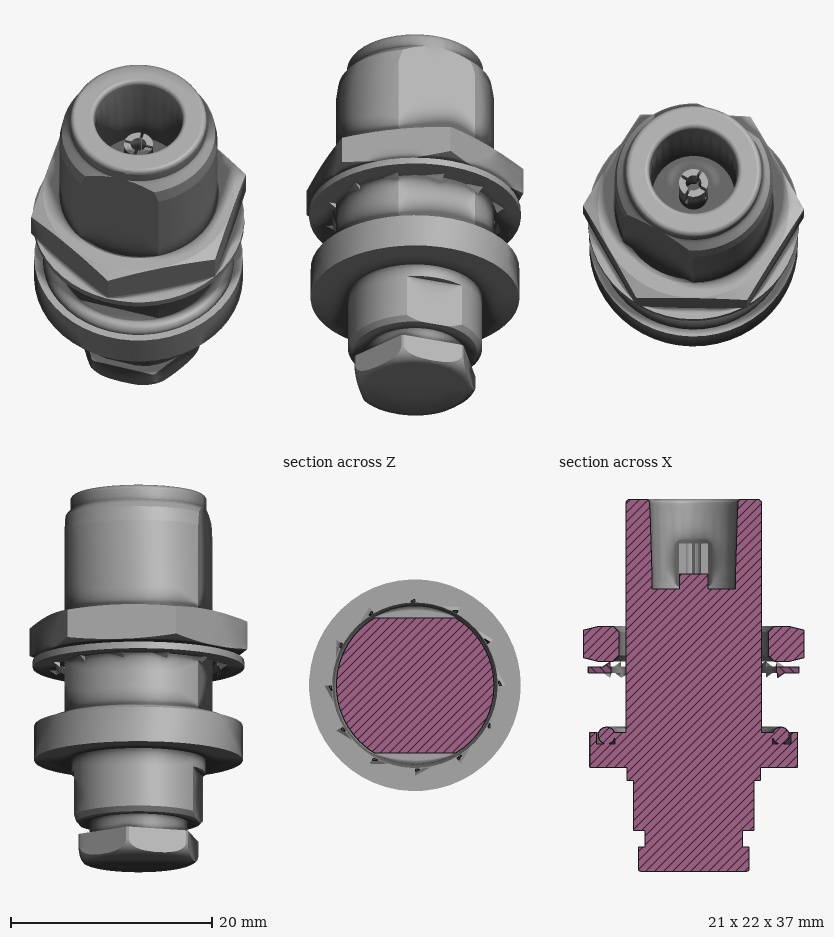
import cadquery as cq
import math


total_height = 37.02
cut_size = 37.02

clamp_across_flats = 11.05
clamp_height = 2.5
clamp_corner_radius = 6.3
clamp_bottom_fillet = 1.35
neck_radius = 4.9

sleeve_bottom = 4.07
sleeve_radius = 6.65
sleeve_chamfer = 0.48
sleeve_flat_offset = 6.0
sleeve_flat_top = 9.05

flange_bottom = 10.35
flange_top = 13.85
flange_radius = 10.35
ring_section_radius = 0.85
ring_height_above_flange = 0.55
ring_seat_depth = 0.05
groove_outer_radius = 9.65

barrel_radius = 7.85
barrel_flat_offset = 6.75
taper_bottom = 33.2
taper_top = 34.6
taper_top_radius = 7.63
rim_bottom = 35.55
rim_radius = 6.77
rim_fillet = 0.48

nut_bottom = 20.88
nut_height = 3.5
nut_across_corners = 21.95
nut_bore_radius = 7.4
nut_bore_chamfer = 0.6
nut_face_radius = 9.48
nut_corner_drop = 0.37

socket_mouth_radius = 4.35
socket_floor_radius = 4.1
socket_mouth_fillet = 0.45
socket_depth = 8.9
pin_radius = 1.45
pin_height = 4.45
pin_hole_radius = 0.78
pin_hole_depth = 2.95
pin_slot_width = 0.3

washer_radius = 10.5
washer_inner_radius = 8.2
washer_thickness = 0.65
tooth_count = 12
tooth_tip_radius = 8.3
tooth_root_radius = 9.0
tooth_height = 0.48
tooth_angle = 11.0


def cylinder(radius, bottom, top):
    return cq.Workplane("XY").workplane(offset=bottom).circle(radius).extrude(top - bottom)


def hexagon(across_corners, bottom, height, turn):
    prism = cq.Workplane("XY").workplane(offset=bottom).polygon(6, across_corners).extrude(height)
    return prism.rotate((0, 0, 0), (0, 0, 1), turn)


def cut_flats(solid, offset, bottom, top):
    """Remove the material beyond Y = +offset and Y = -offset between two heights."""
    for side in (1, -1):
        block = cq.Workplane("XY").box(cut_size, cut_size, top - bottom, centered=(True, True, False))
        solid = solid.cut(block.translate((0, side * (offset + cut_size / 2), bottom)))
    return solid


def make_clamp_nut():
    """Hexagon whose corners and lower edge are rounded off by a turned envelope."""
    hexagon_body = hexagon(clamp_across_flats / math.cos(math.pi / 6), 0, clamp_height, 0)
    envelope = cylinder(clamp_corner_radius, 0, clamp_height).faces("<Z").edges().fillet(clamp_bottom_fillet)
    return hexagon_body.intersect(envelope)


def make_sleeve():
    sleeve = cylinder(sleeve_radius, sleeve_bottom, flange_bottom)
    sleeve = sleeve.faces("<Z").edges().chamfer(sleeve_chamfer)
    return cut_flats(sleeve, sleeve_flat_offset, sleeve_bottom, sleeve_flat_top)


def make_flange():
    """Disc with a groove in its top face and a round sealing ring lying in it."""
    ring_center_z = flange_top + ring_height_above_flange - ring_section_radius
    ring_center_radius = barrel_radius + ring_section_radius - ring_seat_depth
    groove_floor = ring_center_z - ring_section_radius + ring_seat_depth
    groove = cylinder(groove_outer_radius, groove_floor, flange_top).cut(
        cylinder(barrel_radius, groove_floor, flange_top)
    )
    ring = (
        cq.Workplane("XZ")
        .center(ring_center_radius, ring_center_z)
        .circle(ring_section_radius)
        .revolve(360, (-ring_center_radius, 0), (-ring_center_radius, 1))
    )
    return cylinder(flange_radius, flange_bottom, flange_top).cut(groove).union(ring)


def make_barrel():
    """Turned barrel with a tapered shoulder and a rounded rim, flattened on two sides."""
    barrel = (
        cq.Workplane("XZ")
        .moveTo(0, flange_top)
        .lineTo(barrel_radius, flange_top)
        .lineTo(barrel_radius, taper_bottom)
        .lineTo(taper_top_radius, taper_top)
        .lineTo(rim_radius, rim_bottom)
        .lineTo(rim_radius, total_height)
        .lineTo(0, total_height)
        .close()
        .revolve(360, (0, 0), (0, 1))
    )
    barrel = barrel.faces(">Z").edges().fillet(rim_fillet)
    return cut_flats(barrel, barrel_flat_offset, flange_top, total_height)


def make_panel_nut():
    """Hexagon nut with corners on the Y axis, bevelled on both faces."""
    nut_top = nut_bottom + nut_height
    corner_radius = nut_across_corners / 2
    envelope = (
        cq.Workplane("XZ")
        .moveTo(nut_bore_radius + nut_bore_chamfer, nut_bottom)
        .lineTo(nut_face_radius, nut_bottom)
        .lineTo(corner_radius, nut_bottom + nut_corner_drop)
        .lineTo(corner_radius, nut_top - nut_corner_drop)
        .lineTo(nut_face_radius, nut_top)
        .lineTo(nut_bore_radius + nut_bore_chamfer, nut_top)
        .lineTo(nut_bore_radius, nut_top - nut_bore_chamfer)
        .lineTo(nut_bore_radius, nut_bottom + nut_bore_chamfer)
        .close()
        .revolve(360, (0, 0), (0, 1))
    )
    return hexagon(nut_across_corners, nut_bottom, nut_height, 30).intersect(envelope)


def cut_socket(solid):
    """Slightly tapered blind bore with a rounded mouth."""
    floor = total_height - socket_depth
    bore = (
        cq.Workplane("XZ")
        .moveTo(0, floor)
        .lineTo(socket_floor_radius, floor)
        .lineTo(socket_mouth_radius, total_height - socket_mouth_fillet)
        .radiusArc((socket_mouth_radius + socket_mouth_fillet, total_height), socket_mouth_fillet)
        .lineTo(0, total_height)
        .close()
        .revolve(360, (0, 0), (0, 1))
    )
    return solid.cut(bore)


def make_pin():
    """Hollow contact on the socket floor, split into four fingers by crossed slots."""
    pin_bottom = total_height - socket_depth
    pin_top = pin_bottom + pin_height
    pin = cylinder(pin_radius, pin_bottom, pin_top)
    pin = pin.cut(cylinder(pin_hole_radius, pin_top - pin_hole_depth, pin_top))
    slot = cq.Workplane("XY").box(2 * pin_radius, pin_slot_width, pin_hole_depth, centered=(True, True, False))
    slot = slot.translate((0, 0, pin_top - pin_hole_depth))
    return pin.cut(slot).cut(slot.rotate((0, 0, 0), (0, 0, 1), 90))


def make_connector():
    connector = make_clamp_nut().union(cylinder(neck_radius, clamp_height, sleeve_bottom))
    connector = connector.union(make_sleeve())
    connector = connector.union(make_flange())
    connector = connector.union(make_barrel())
    connector = connector.union(make_panel_nut())
    return cut_socket(connector).union(make_pin())


def make_tooth(angle, surface_z, side):
    """Four-sided wedge standing on one washer face: side is +1 for up and -1 for down."""
    start = math.radians(angle)
    end = math.radians(angle + side * tooth_angle)
    root = cq.Vector(tooth_root_radius * math.cos(start), tooth_root_radius * math.sin(start), surface_z)
    heel = cq.Vector(tooth_tip_radius * math.cos(start), tooth_tip_radius * math.sin(start), surface_z)
    toe = cq.Vector(tooth_tip_radius * math.cos(end), tooth_tip_radius * math.sin(end), surface_z)
    tip = heel + cq.Vector(0, 0, side * tooth_height)
    triangles = [(root, heel, toe), (root, heel, tip), (heel, toe, tip), (toe, root, tip)]
    faces = [cq.Face.makeFromWires(cq.Wire.makePolygon(corners, close=True)) for corners in triangles]
    return cq.Workplane(cq.Solid.makeSolid(cq.Shell.makeShell(faces)).fix())


def make_lock_washer():
    """Flat ring whose teeth reach up to the panel nut and down toward the panel."""
    washer_top = nut_bottom - tooth_height
    washer_bottom = washer_top - washer_thickness
    washer = cylinder(washer_radius, washer_bottom, washer_top)
    washer = washer.cut(cylinder(washer_inner_radius, washer_bottom, washer_top))
    for index in range(tooth_count):
        angle = index * 360 / tooth_count
        washer = washer.union(make_tooth(angle, washer_top, 1))
        washer = washer.union(make_tooth(angle, washer_bottom, -1))
    return washer


connector = make_connector()
lock_washer = make_lock_washer()

result = cq.Compound.makeCompound([connector.solids().val(), lock_washer.solids().val()])